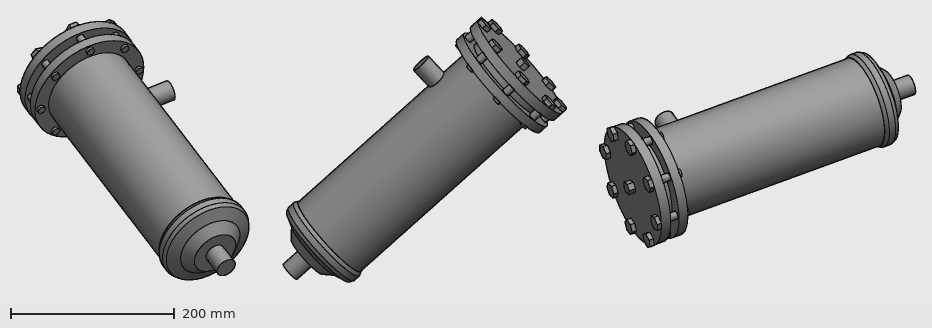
import cadquery as cq
import math

OVERALL_LENGTH = 390.5

COVER_START = 8.5
COVER_THICKNESS = 13.0
COVER_DIAMETER = 153.0
FLANGE_GAP = 11.7
FLANGE_THICKNESS = 12.0
FLANGE_DIAMETER = 152.0
COVER_END = COVER_START + COVER_THICKNESS
FLANGE_START = COVER_END + FLANGE_GAP
FLANGE_END = FLANGE_START + FLANGE_THICKNESS

BOLT_COUNT = 8
BOLT_CIRCLE_DIAMETER = 136.5
BOLT_DIAMETER = 10.0
BOLT_HEAD_FLATS = 17.0
BOLT_HEAD_HEIGHT = 6.0
BOLT_PROTRUSION = 3.5

PLUG_HEAD_CORNERS = 16.5
PLUG_HEAD_TURN = -20.0

SHELL_RADIUS = 114.0 / 2
CAP_START = 325.0
CAP_LIP_RADIUS = 57.8
BAND_START = 330.0
BAND_END = 338.5
BAND_RADIUS = 120.3 / 2
NECK_START = 343.5
NECK_START_RADIUS = 57.8
NECK_MIDDLE = 350.3
NECK_MIDDLE_RADIUS = 41.5
CAP_END = 362.5
CAP_END_RADIUS = 29.0

PIPE_DIAMETER = 25.5
SIDE_PIPE_X = 95.3
SIDE_PIPE_REACH = 85.0


def cylinder_along_x(start, end, diameter):
    return cq.Workplane("YZ", origin=(start, 0, 0)).circle(diameter / 2).extrude(end - start)


def hexagon_along_x(start, height, corner_diameter, turn):
    """Hexagonal head centred on X; at zero turn two of its corners lie on the Y axis."""
    head = cq.Workplane("YZ", origin=(start, 0, 0)).polygon(6, corner_diameter).extrude(height)
    return head.rotate((0, 0, 0), (1, 0, 0), turn)


def make_shell_and_cap():
    """Shell from the cover to the cap, with the cap's raised band and two-stage conical neck."""
    return (
        cq.Workplane("XY")
        .moveTo(COVER_END, 0)
        .lineTo(COVER_END, SHELL_RADIUS)
        .lineTo(CAP_START, SHELL_RADIUS)
        .lineTo(CAP_START, CAP_LIP_RADIUS)
        .lineTo(BAND_START, BAND_RADIUS)
        .lineTo(BAND_END, BAND_RADIUS)
        .lineTo(NECK_START, NECK_START_RADIUS)
        .lineTo(NECK_MIDDLE, NECK_MIDDLE_RADIUS)
        .lineTo(CAP_END, CAP_END_RADIUS)
        .lineTo(CAP_END, 0)
        .close()
        .revolve(360, (0, 0, 0), (1, 0, 0))
    )


def make_bolt():
    """Bolt at the top of the bolt circle, one flat of its head facing outward."""
    head_corners = BOLT_HEAD_FLATS / math.cos(math.pi / 6)
    head = hexagon_along_x(COVER_START - BOLT_HEAD_HEIGHT, BOLT_HEAD_HEIGHT, head_corners, 0)
    shank = cylinder_along_x(COVER_START, FLANGE_END + BOLT_PROTRUSION, BOLT_DIAMETER)
    return head.union(shank).translate((0, 0, BOLT_CIRCLE_DIAMETER / 2))


def make_side_pipe():
    axis_plane = cq.Plane(origin=(SIDE_PIPE_X, 0, 0), xDir=(1, 0, 0), normal=(0, 1, 0))
    return cq.Workplane(axis_plane).circle(PIPE_DIAMETER / 2).extrude(SIDE_PIPE_REACH)


result = make_shell_and_cap()
result = result.union(cylinder_along_x(COVER_START, COVER_END, COVER_DIAMETER))
result = result.union(cylinder_along_x(FLANGE_START, FLANGE_END, FLANGE_DIAMETER))
result = result.union(cylinder_along_x(CAP_END, OVERALL_LENGTH, PIPE_DIAMETER))
result = result.union(make_side_pipe())
result = result.union(hexagon_along_x(0, COVER_START, PLUG_HEAD_CORNERS, PLUG_HEAD_TURN))

bolt = make_bolt()
for index in range(BOLT_COUNT):
    angle = index * 360 / BOLT_COUNT
    result = result.union(bolt.rotate((0, 0, 0), (1, 0, 0), angle))